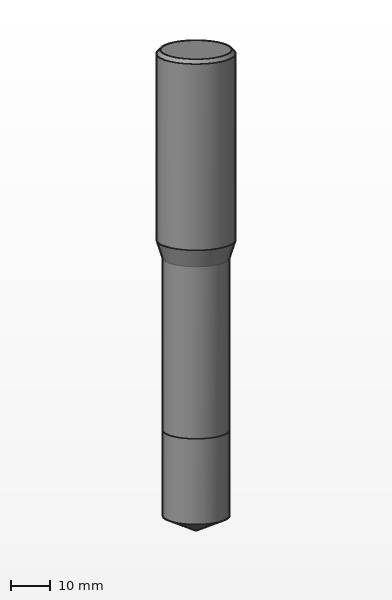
import cadquery as cq

total_length = 126.0
shank_diameter = 20.0
drill_diameter = 17.0

point_height = 4.0
cutting_length = 26.5
neck_length = 45.1
shoulder_height = 4.7
end_chamfer = 1.0

shank_radius = shank_diameter / 2
drill_radius = drill_diameter / 2

bottom_level = -total_length / 2
point_top = bottom_level + point_height
joint_level = bottom_level + cutting_length
shoulder_bottom = joint_level + neck_length
shoulder_top = shoulder_bottom + shoulder_height
top_level = bottom_level + total_length


def revolve_profile(points):
    """Turn a closed (radius, height) outline around the Z axis."""
    return cq.Workplane("XZ").polyline(points).close().revolve(360, (0, 0), (0, 1))


def make_holder():
    """Shank with a chamfered end, a conical shoulder and a slimmer neck."""
    return revolve_profile([
        (0, joint_level),
        (drill_radius, joint_level),
        (drill_radius, shoulder_bottom),
        (shank_radius, shoulder_top),
        (shank_radius, top_level - end_chamfer),
        (shank_radius - end_chamfer, top_level),
        (0, top_level),
    ])


def make_cutting_tip():
    """Cylindrical cutting tip ending in a conical point."""
    return revolve_profile([
        (0, bottom_level),
        (drill_radius, point_top),
        (drill_radius, joint_level),
        (0, joint_level),
    ])


holder = make_holder()
cutting_tip = make_cutting_tip()

result = cq.Compound.makeCompound([holder.val(), cutting_tip.val()])